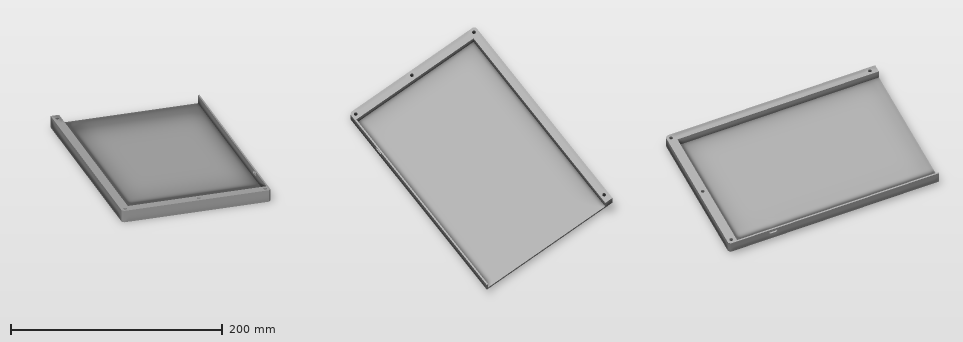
import cadquery as cq

length = 218.0
width = 148.3
height = 12.0
floor_thickness = 3.3
corner_chamfer = 2.0

back_wall = 1.5
front_rail = 8.5
end_rail = 9.2

screw_diameter = 3.5
screw_inset = 4.4
first_screw_x = 7.5
middle_screw_y = 77.6

slot_length = 8.7
slot_height = 4.0
slot_x = 172.0
slot_z = 9.0


def make_tray():
    """Block with chamfered +X corners and a recess open at the -X end."""
    block = cq.Workplane("XY").box(length, width, height, centered=False)
    block = block.edges("|Z and >X").chamfer(corner_chamfer)
    recess = (
        cq.Workplane("XY")
        .box(
            length - end_rail,
            width - front_rail - back_wall,
            height - floor_thickness,
            centered=False,
        )
        .translate((0, front_rail, floor_thickness))
    )
    return block.cut(recess)


def make_screw_holes():
    """Cylinders for one hole near the open end and three along the end rail."""
    end_x = length - screw_inset
    centers = [
        (first_screw_x, screw_inset),
        (end_x, screw_inset),
        (end_x, middle_screw_y),
        (end_x, width - screw_inset),
    ]
    return cq.Workplane("XY").pushPoints(centers).circle(screw_diameter / 2).extrude(height)


def make_wall_slot():
    """Slot cutter that spans the thickness of the back wall."""
    return (
        cq.Workplane("XZ", origin=(slot_x, width, slot_z))
        .slot2D(slot_length, slot_height)
        .extrude(back_wall)
    )


result = make_tray().cut(make_screw_holes()).cut(make_wall_slot())